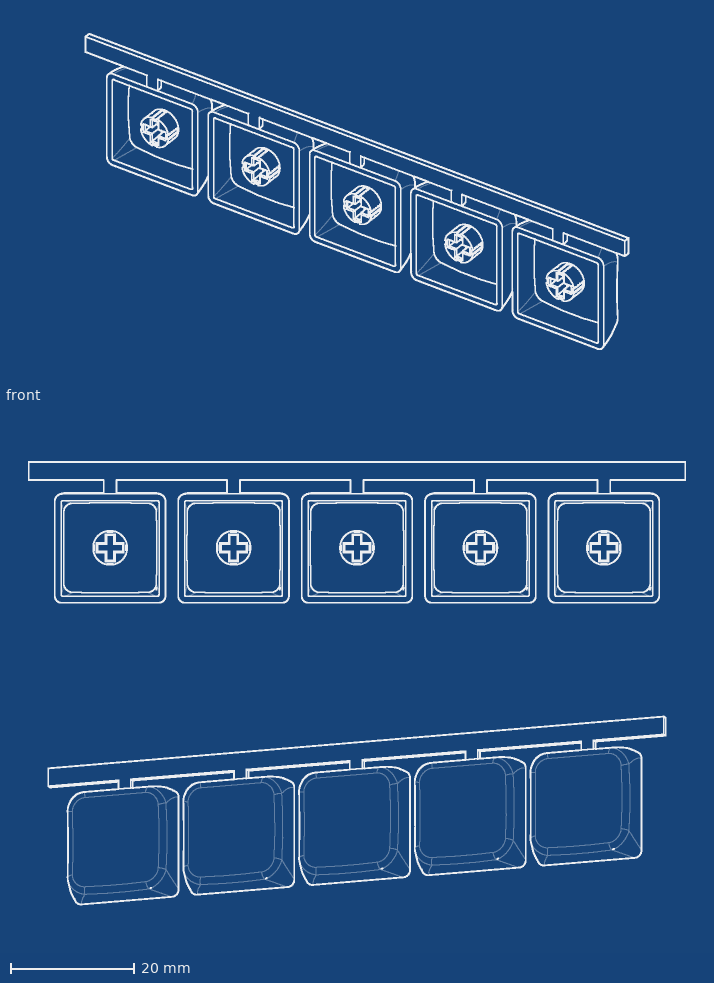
import cadquery as cq


CAP_COUNT = 5
CAP_PITCH = 20.0
CAP_POSITIONS = [(i - (CAP_COUNT - 1) / 2) * CAP_PITCH for i in range(CAP_COUNT)]

RIM_BOTTOM_Z = -8.9
RIM_TOP_Z = 8.7
RIM_WALL = 1.1
CAP_WIDTH = 18.0
BLANK_DEPTH = 6.1
OUTER_SECTIONS = [
    (0, CAP_WIDTH, RIM_BOTTOM_Z, RIM_TOP_Z, 1.2),
    (2.5, 17.7, -8.7, 8.9, 2.0),
    (BLANK_DEPTH, 16.3, -8.1, 8.1, 3.7),
]
CAVITY_SECTIONS = [
    (0, CAP_WIDTH - 2 * RIM_WALL, RIM_BOTTOM_Z + RIM_WALL, RIM_TOP_Z - RIM_WALL, 0.3),
    (2.1, 15.5, -7.7, 7.5, 0.7),
    (BLANK_DEPTH, 14.5, -6.7, 6.8, 1.9),
]

DISH_RADIUS = 44.7
DISH_LEVEL = 4.5
TOP_THICKNESS = 1.1
TOP_EDGE_FILLET = 1.0
FLOOR_LEVEL = DISH_LEVEL - TOP_THICKNESS

STEM_RADIUS = 2.8
STEM_FRONT = 0.6
STEM_BACK = FLOOR_LEVEL + TOP_THICKNESS / 2
CROSS_LENGTH = 4.0
CROSS_WIDTH = 1.2
CROSS_CHAMFER = 0.2
GROOVE_COUNT = 4
GROOVE_WIDTH = 0.9
GROOVE_DEPTH = 0.2

OVERALL_HEIGHT = 22.9
BAR_LENGTH = 106.4
BAR_HEIGHT = 3.0
SPRUE_THICKNESS = 1.1
TAB_WIDTH = 2.1
TAB_OVERLAP = 0.5
BAR_TOP_Z = RIM_BOTTOM_Z + OVERALL_HEIGHT
BAR_BOTTOM_Z = BAR_TOP_Z - BAR_HEIGHT


def section_wire(level, width, bottom_z, top_z, corner_radius):
    """Rectangle with round corners in the plane Y = level."""
    height = top_z - bottom_z
    centre = (0, level, (top_z + bottom_z) / 2)
    plate = cq.Workplane("XZ", origin=centre).rect(width, height).extrude(-1.1)
    return plate.edges("|Y").fillet(corner_radius).faces("<Y").wires().val()


def tapered_block(sections):
    """Smooth loft through the given sections."""
    wires = [section_wire(*section) for section in sections]
    return cq.Workplane(cq.Solid.makeLoft(wires))


def dish_sphere(radius):
    """Sphere whose centre lies on the Y axis, behind the key top."""
    return cq.Workplane("XY", origin=(0, DISH_LEVEL + DISH_RADIUS, 0)).sphere(radius)


def box_along_y(width, height, front, back):
    """Box centred on the Y axis between two Y levels."""
    return cq.Workplane("XZ", origin=(0, front, 0)).rect(width, height).extrude(front - back)


def turned(shape, angle):
    """The shape turned about the Y axis."""
    return shape.rotate((0, 0, 0), (0, 1, 0), angle)


def cap_blank():
    """Solid keycap outline with the dish and its rounded edge."""
    blank = tapered_block(OUTER_SECTIONS).cut(dish_sphere(DISH_RADIUS))
    return blank.faces("%SPHERE").edges().fillet(TOP_EDGE_FILLET)


def cap_cavity():
    return tapered_block(CAVITY_SECTIONS).cut(dish_sphere(DISH_RADIUS + TOP_THICKNESS))


def stem():
    post = cq.Workplane("XZ", origin=(0, STEM_FRONT, 0)).circle(STEM_RADIUS).extrude(STEM_FRONT - STEM_BACK)

    slot = box_along_y(CROSS_LENGTH, CROSS_WIDTH, STEM_FRONT, FLOOR_LEVEL)
    post = post.cut(slot.union(turned(slot, 90)))
    post = post.faces("<Y").edges("not %CIRCLE").chamfer(CROSS_CHAMFER)

    groove = box_along_y(GROOVE_WIDTH, 2 * GROOVE_DEPTH, STEM_FRONT, FLOOR_LEVEL)
    groove = groove.translate((0, 0, STEM_RADIUS))
    for i in range(GROOVE_COUNT):
        post = post.cut(turned(groove, i * 360 / GROOVE_COUNT))
    return post


def keycap():
    return cap_blank().cut(cap_cavity()).union(stem()).solids()


def sprue():
    """Bar and tabs, each tab ending on the upper side of its keycap."""
    bar = cq.Workplane("XY", origin=(0, 0, BAR_BOTTOM_Z)).box(
        BAR_LENGTH, SPRUE_THICKNESS, BAR_HEIGHT, centered=(True, False, False)
    )
    tab_bottom_z = RIM_TOP_Z - TAB_OVERLAP
    tab = cq.Workplane("XY", origin=(0, 0, tab_bottom_z)).box(
        TAB_WIDTH, SPRUE_THICKNESS, BAR_BOTTOM_Z - tab_bottom_z, centered=(True, False, False)
    )
    tab = tab.cut(cap_blank())
    for x in CAP_POSITIONS:
        bar = bar.union(tab.translate((x, 0, 0)))
    return bar


cap = keycap()
caps = [cap.translate((x, 0, 0)).val() for x in CAP_POSITIONS]
result = cq.Compound.makeCompound([sprue().val(), *caps])